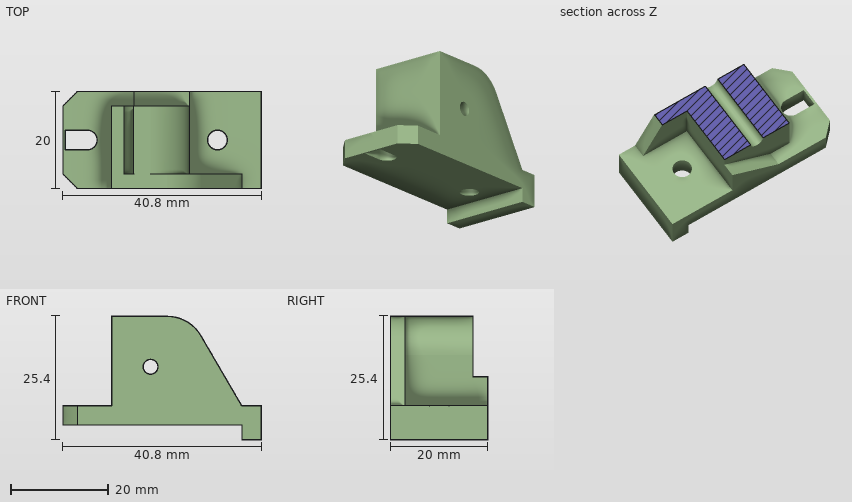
import cadquery as cq
import math

LENGTH = 40.75
WIDTH = 20.0
PLATE_BOTTOM = 3.0
PLATE_THICKNESS = 4.0
PLATE_TOP = PLATE_BOTTOM + PLATE_THICKNESS
CORNER_CHAMFER = 3.0
LIP_LENGTH = 4.0
LIP_START = LENGTH - LIP_LENGTH

MOUNT_DIAMETER = 4.0
SLOT_START = 0.5
SLOT_ROUND_CENTER = 5.0
MOUNT_HOLE_X = 31.75

TOTAL_HEIGHT = 25.39
BODY_START = 10.0
WALL_THICKNESS = 3.0
RAMP_WIDTH = 3.0
BLOCK_BACK = WIDTH - RAMP_WIDTH
SHOULDER_RADIUS = 8.0
BLOCK_END = 26.0
BLOCK_ROUND_CENTER = BLOCK_END - SHOULDER_RADIUS
WALL_ROUND_CENTER = 21.43
SHOULDER_CENTER_Z = TOTAL_HEIGHT - SHOULDER_RADIUS

PIVOT_X = BLOCK_ROUND_CENTER
PIVOT_Z = 15.0
PIVOT_DIAMETER = 3.0

GROOVE_START = 12.5
GROOVE_OPENING = 2.0
GROOVE_OUTER_RADIUS = 5.5
GROOVE_INNER_RADIUS = 5.0

RAMP_START = 14.6
RAMP_RISE = 6.0


def extrude_along_y(outline, y_start, y_end):
    """Extrude a closed XZ outline from y_start to y_end."""
    return outline.extrude(y_start - y_end).translate((0, y_start, 0))


def make_base():
    plate = cq.Workplane("XY").box(LENGTH, WIDTH, PLATE_THICKNESS, centered=False)
    plate = plate.edges("|Z and <X").chamfer(CORNER_CHAMFER).translate((0, 0, PLATE_BOTTOM))
    lip = cq.Workplane("XY").box(LIP_LENGTH, WIDTH, PLATE_TOP, centered=False)
    return plate.union(lip.translate((LIP_START, 0, 0)))


def shoulder_point(angle):
    """Point on the rounded shoulder of the side wall, at an angle measured from +X."""
    return (
        WALL_ROUND_CENTER + SHOULDER_RADIUS * math.cos(angle),
        SHOULDER_CENTER_Z + SHOULDER_RADIUS * math.sin(angle),
    )


def make_side_wall():
    """Front wall whose rounded shoulder runs into a tangent slope that meets the plate at the lip."""
    run = LIP_START - WALL_ROUND_CENTER
    drop = SHOULDER_CENTER_Z - PLATE_TOP
    tangent_angle = math.acos(SHOULDER_RADIUS / math.hypot(run, drop)) - math.atan2(drop, run)
    top_angle = math.pi / 2
    outline = (
        cq.Workplane("XZ")
        .moveTo(BODY_START, PLATE_BOTTOM)
        .lineTo(BODY_START, TOTAL_HEIGHT)
        .lineTo(*shoulder_point(top_angle))
        .threePointArc(shoulder_point((top_angle + tangent_angle) / 2), shoulder_point(tangent_angle))
        .lineTo(LIP_START, PLATE_TOP)
        .lineTo(LIP_START, PLATE_BOTTOM)
        .close()
    )
    return extrude_along_y(outline, 0, WALL_THICKNESS)


def make_block():
    outline = (
        cq.Workplane("XZ")
        .moveTo(BODY_START, PLATE_BOTTOM)
        .lineTo(BODY_START, TOTAL_HEIGHT)
        .lineTo(BLOCK_ROUND_CENTER, TOTAL_HEIGHT)
        .radiusArc((BLOCK_END, SHOULDER_CENTER_Z), SHOULDER_RADIUS)
        .lineTo(BLOCK_END, PLATE_BOTTOM)
        .close()
    )
    return extrude_along_y(outline, WALL_THICKNESS, BLOCK_BACK)


def make_ramp():
    outline = (
        cq.Workplane("XZ")
        .moveTo(RAMP_START, PLATE_TOP)
        .lineTo(BLOCK_END, PLATE_TOP + RAMP_RISE)
        .lineTo(BLOCK_END, PLATE_TOP)
        .close()
    )
    return extrude_along_y(outline, BLOCK_BACK, WIDTH)


def make_groove_cylinder(left_x, radius):
    """Cylinder along Y, centred on the top face, whose leftmost line is at left_x."""
    outline = cq.Workplane("XZ").center(left_x + radius, TOTAL_HEIGHT).circle(radius)
    return extrude_along_y(outline, WALL_THICKNESS, BLOCK_BACK)


def make_groove():
    """Crescent left when the inner cylinder is taken out of the outer one."""
    outer = make_groove_cylinder(GROOVE_START, GROOVE_OUTER_RADIUS)
    inner = make_groove_cylinder(GROOVE_START + GROOVE_OPENING, GROOVE_INNER_RADIUS)
    return outer.cut(inner)


def make_mount_openings():
    middle_y = WIDTH / 2
    hole = cq.Workplane("XY").center(MOUNT_HOLE_X, middle_y).circle(MOUNT_DIAMETER / 2).extrude(PLATE_TOP)
    slot_round = hole.translate((SLOT_ROUND_CENTER - MOUNT_HOLE_X, 0, 0))
    slot_straight = cq.Workplane("XY").box(
        SLOT_ROUND_CENTER - SLOT_START, MOUNT_DIAMETER, PLATE_TOP, centered=False
    )
    slot_straight = slot_straight.translate((SLOT_START, middle_y - MOUNT_DIAMETER / 2, 0))
    return hole.union(slot_round).union(slot_straight)


def make_pivot_hole():
    outline = cq.Workplane("XZ").center(PIVOT_X, PIVOT_Z).circle(PIVOT_DIAMETER / 2)
    return extrude_along_y(outline, 0, WIDTH)


body = make_base().union(make_side_wall()).union(make_block()).union(make_ramp())
result = body.cut(make_groove()).cut(make_mount_openings()).cut(make_pivot_hole())